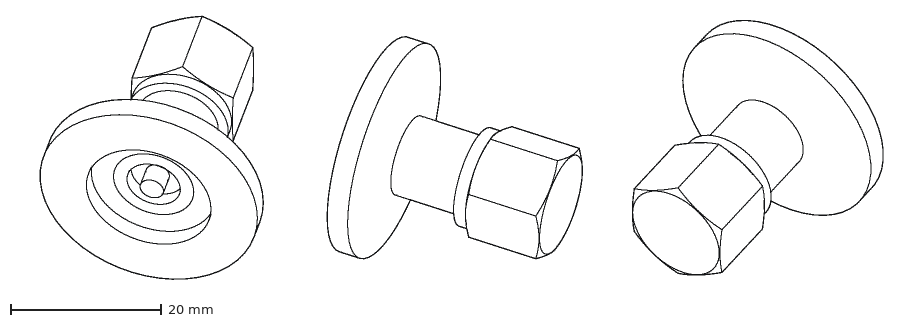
import cadquery as cq
import math

FLANGE_DIAMETER = 30.0
RIM_THICKNESS = 3.0
CONE_SMALL_DIAMETER = 15.0
CONE_ANGLE = 15.0
RECESS_DIAMETER = 17.2
RECESS_DEPTH = 2.5
CONE_HEIGHT = (FLANGE_DIAMETER - CONE_SMALL_DIAMETER) / 2 * math.tan(math.radians(CONE_ANGLE))
FLANGE_THICKNESS = RIM_THICKNESS + CONE_HEIGHT

TUBE_DIAMETER = 11.07
BORE_DIAMETER = 7.35
BORE_DEPTH = 2.05
PIN_DIAMETER = 3.25
PIN_TIP_Y = 1.6
COLLAR_DIAMETER = 13.8
COLLAR_START_Y = 14.8
HEX_START_Y = 16.53
FITTING_END_Y = 27.35
HEX_ACROSS_FLATS = 13.98
HEX_CHAMFER_LENGTH = 0.5
HEX_END_DIAMETER = COLLAR_DIAMETER
HEX_ACROSS_CORNERS = HEX_ACROSS_FLATS / math.cos(math.radians(30))


def revolve_about_y(points):
    """Turn a closed (radius, y) outline about the Y axis."""
    return cq.Workplane("XY").polyline(points).close().revolve(360, (0, 0), (0, 1))


def cylinder(diameter, start_y, end_y):
    """Make a cylinder on the Y axis between two Y positions."""
    radius = diameter / 2
    return revolve_about_y([(0, start_y), (radius, start_y), (radius, end_y), (0, end_y)])


def make_flange():
    bore_radius = TUBE_DIAMETER / 2
    recess_radius = RECESS_DIAMETER / 2
    rim_radius = FLANGE_DIAMETER / 2
    return revolve_about_y([
        (recess_radius, 0),
        (rim_radius, 0),
        (rim_radius, RIM_THICKNESS),
        (CONE_SMALL_DIAMETER / 2, FLANGE_THICKNESS),
        (bore_radius, FLANGE_THICKNESS),
        (bore_radius, RECESS_DEPTH),
        (recess_radius, RECESS_DEPTH),
    ])


def make_hexagon():
    """Hexagon with corners at +Z and -Z, its corners bevelled conically at both ends."""
    prism = (
        cq.Workplane("XZ", origin=(0, HEX_START_Y, 0))
        .polygon(6, HEX_ACROSS_CORNERS)
        .extrude(HEX_START_Y - FITTING_END_Y)
        .rotate((0, 0, 0), (0, 1, 0), 30)
    )
    end_radius = HEX_END_DIAMETER / 2
    corner_radius = HEX_ACROSS_CORNERS / 2
    bevel_envelope = revolve_about_y([
        (0, HEX_START_Y),
        (end_radius, HEX_START_Y),
        (corner_radius, HEX_START_Y + HEX_CHAMFER_LENGTH),
        (corner_radius, FITTING_END_Y - HEX_CHAMFER_LENGTH),
        (end_radius, FITTING_END_Y),
        (0, FITTING_END_Y),
    ])
    return prism.intersect(bevel_envelope)


def make_fitting():
    bore_floor_y = RECESS_DEPTH + BORE_DEPTH
    tube = cylinder(TUBE_DIAMETER, RECESS_DEPTH, COLLAR_START_Y)
    bore = cylinder(BORE_DIAMETER, RECESS_DEPTH, bore_floor_y)
    pin = cylinder(PIN_DIAMETER, PIN_TIP_Y, bore_floor_y)
    collar = cylinder(COLLAR_DIAMETER, COLLAR_START_Y, HEX_START_Y)
    return tube.cut(bore).union(pin).union(collar).union(make_hexagon())


flange = make_flange()
fitting = make_fitting()

result = cq.Compound.makeCompound([flange.val(), fitting.val()])